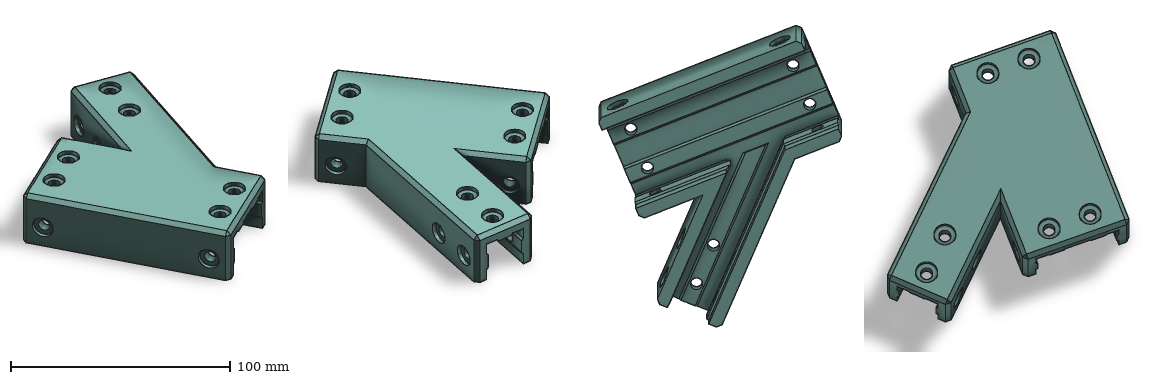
import cadquery as cq
import math

profile_pitch = 20.0
clearance = 0.2
cavity_height = profile_pitch + 2 * clearance
slot_height = cavity_height / 2
total_height = 26.15

block_length = 100.0
block_width = 51.9
block_slots = 2
block_cavity_width = block_slots * profile_pitch + 2 * clearance

arm_angle = 135.0
arm_width = 32.0
arm_slots = 1

overall_x = 107.32
overall_y = 112.64
arm_end_x = block_length / 2 - overall_x
arm_end_y = overall_y - block_width / 2

edge_chamfer = 2.0

rib_height = 1.0
rib_base = 9.0
rib_tip = rib_base - 2 * rib_height

hole_diameter = 5.5
hole_depth = 8.0
counterbore_diameter = 10.0
counterbore_depth = 2.0
hole_end_distance = 10.0

axis_sum = arm_end_x + arm_end_y
arm_origin_y = block_cavity_width / 2
arm_origin_x = axis_sum - arm_origin_y
end_edge_half = arm_width / 2 - edge_chamfer
arm_length = (arm_origin_x - arm_end_x) * math.sqrt(2) - end_edge_half


def place_arm(shape):
    """Move a shape from the arm frame to its place on the block."""
    turned = shape.rotate((0, 0, 0), (0, 0, 1), arm_angle)
    return turned.translate((arm_origin_x, arm_origin_y, 0))


def box_between(x_start, x_end, width, height):
    """Box resting on Z = 0 and centred on Y = 0."""
    box = cq.Workplane("XY").box(x_end - x_start, width, height, centered=(False, True, False))
    return box.translate((x_start, 0, 0))


def rib_centres(slots):
    """Y positions of the slots, spread evenly about Y = 0."""
    return [(i - (slots - 1) / 2) * profile_pitch for i in range(slots)]


def channel(x_start, x_end, slots):
    """Profile-shaped cavity: a rectangular channel with ribs left on its roof and sides."""
    half_width = slots * profile_pitch / 2 + clearance
    half_base = rib_base / 2
    half_tip = rib_tip / 2
    outline = [
        (-half_width, 0),
        (-half_width, slot_height - half_base),
        (-half_width + rib_height, slot_height - half_tip),
        (-half_width + rib_height, slot_height + half_tip),
        (-half_width, slot_height + half_base),
        (-half_width, cavity_height),
    ]
    for y in rib_centres(slots):
        outline += [
            (y - half_base, cavity_height),
            (y - half_tip, cavity_height - rib_height),
            (y + half_tip, cavity_height - rib_height),
            (y + half_base, cavity_height),
        ]
    outline += [
        (half_width, cavity_height),
        (half_width, slot_height + half_base),
        (half_width - rib_height, slot_height + half_tip),
        (half_width - rib_height, slot_height - half_tip),
        (half_width, slot_height - half_base),
        (half_width, 0),
    ]
    section = cq.Workplane("YZ").polyline(outline).close()
    return section.extrude(x_end - x_start).translate((x_start, 0, 0))


def screw_hole(face_point, inward):
    """Cutter for a counterbored hole that enters at face_point and crosses one wall."""
    plane = cq.Plane(origin=face_point, normal=inward)
    bore = cq.Workplane(plane).circle(hole_diameter / 2).extrude(hole_depth)
    counterbore = cq.Workplane(plane).circle(counterbore_diameter / 2).extrude(counterbore_depth)
    return bore.union(counterbore)


def roof_holes(x_positions, slots):
    """Vertical holes over every slot at each X position."""
    return [
        screw_hole((x, y, total_height), (0, 0, -1))
        for x in x_positions
        for y in rib_centres(slots)
    ]


def side_holes(x_positions, width):
    """Horizontal holes through both side walls at each X position."""
    return [
        screw_hole((x, side * width / 2, slot_height), (0, -side, 0))
        for x in x_positions
        for side in (-1, 1)
    ]


def block_body():
    """Solid block with chamfered upright and top edges."""
    body = box_between(-block_length / 2, block_length / 2, block_width, total_height)
    return body.edges("|Z or >Z").chamfer(edge_chamfer)


def arm_body():
    """Solid arm with chamfered edges. Its inner end is buried inside the block."""
    body = box_between(-arm_width / 2, arm_length, arm_width, total_height)
    return body.edges("|Z or >Z").chamfer(edge_chamfer)


def arm_cavity():
    """Arm channel, trimmed where it opens through the side of the block channel, rib included."""
    cavity = place_arm(channel(-arm_width, arm_length, arm_slots))
    beyond_block_channel = cq.Workplane("XY").box(
        2 * arm_length, 2 * arm_length, total_height, centered=(True, False, False)
    )
    return cavity.intersect(beyond_block_channel.translate((0, arm_origin_y - rib_height, 0)))


block_hole_x = block_length / 2 - hole_end_distance
block_hole_positions = [-block_hole_x, block_hole_x]
arm_hole_positions = [
    arm_length - hole_end_distance - profile_pitch,
    arm_length - hole_end_distance,
]

result = block_body().union(place_arm(arm_body()))
result = result.cut(channel(-block_length / 2, block_length / 2, block_slots))
result = result.cut(arm_cavity())

block_holes = roof_holes(block_hole_positions, block_slots) + side_holes(block_hole_positions, block_width)
arm_holes = roof_holes(arm_hole_positions, arm_slots) + side_holes(arm_hole_positions, arm_width)
for hole in block_holes:
    result = result.cut(hole)
for hole in arm_holes:
    result = result.cut(place_arm(hole))

result = cq.Workplane("XY").newObject([result.solids().val()])